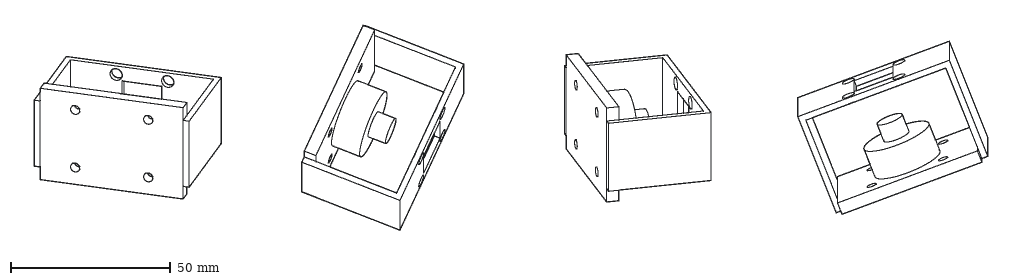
import cadquery as cq

frame_width = 51.0
frame_depth = 33.5
frame_height = 22.95
wall = 2.0

window_side = 13.0
back_hole_diameter = 4.0
back_hole_spacing = 17.0

plate_width = frame_width - 2 * wall
plate_height = 31.75
plate_thickness = 4.0
screw_hole_diameter = 3.0
screw_spacing_x = 24.0
screw_spacing_z = 20.0

boss_diameter = 22.0
boss_length = 9.6
spigot_diameter = 8.5
spigot_length = 5.9

back_wall_inner_y = frame_depth - wall


def cylinder_along_y(diameter, start_y, length):
    """Cylinder on the Y axis that grows toward +Y."""
    return cq.Workplane("XZ", origin=(0, start_y, 0)).circle(diameter / 2).extrude(-length)


def cylinder_pattern(diameter, start_y, length, spacing_x, spacing_z):
    """Four cylinders along Y on the corners of a centred rectangle."""
    return (
        cq.Workplane("XZ", origin=(0, start_y, 0))
        .rect(spacing_x, spacing_z, forConstruction=True)
        .vertices()
        .circle(diameter / 2)
        .extrude(-length)
    )


def make_frame():
    outer = cq.Workplane("XY").box(frame_width, frame_depth, frame_height, centered=(True, False, True))
    inside = cq.Workplane("XY").box(plate_width, back_wall_inner_y, frame_height, centered=(True, False, True))
    window = (
        cq.Workplane("XY", origin=(0, back_wall_inner_y, 0))
        .box(window_side, wall, window_side, centered=(True, False, True))
    )
    holes = cylinder_pattern(
        back_hole_diameter, back_wall_inner_y, wall, back_hole_spacing, back_hole_spacing
    )
    return outer.cut(inside).cut(window).cut(holes)


def make_plate():
    plate = cq.Workplane("XY").box(plate_width, plate_thickness, plate_height, centered=(True, False, True))
    boss = cylinder_along_y(boss_diameter, plate_thickness, boss_length)
    spigot = cylinder_along_y(spigot_diameter, plate_thickness + boss_length, spigot_length)
    holes = cylinder_pattern(screw_hole_diameter, 0, plate_thickness, screw_spacing_x, screw_spacing_z)
    return plate.union(boss).union(spigot).cut(holes)


frame = make_frame()
plate = make_plate()

result = cq.Compound.makeCompound([frame.val(), plate.val()])